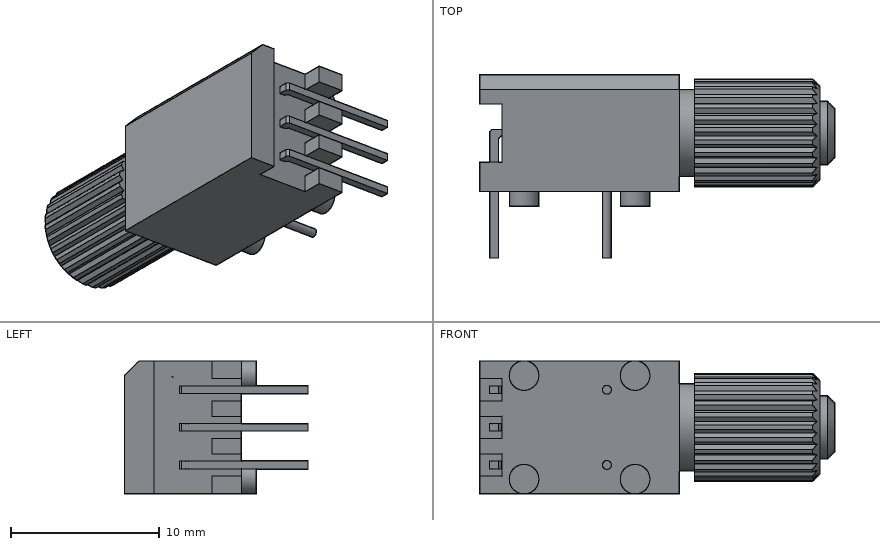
import cadquery as cq


BODY_LENGTH = 13.5
BODY_HEIGHT = 9.0
BODY_DEPTH = 7.91
BODY_FRONT_Y = -BODY_DEPTH / 2
BODY_BACK_Y = BODY_DEPTH / 2
BODY_CHAMFER = 1.0
REAR_X = -BODY_LENGTH

RECESS_DEPTH = 1.5
LEDGE_THICKNESS = 2.0
LIP_THICKNESS = 2.0

PITCH = 2.54
NOTCH_WIDTH = 1.5
TERMINAL_COUNT = 3
TERMINAL_THICKNESS = 0.6
TERMINAL_WIDTH = 0.52
TERMINAL_OFFSET = 0.68
TERMINAL_BEND_RISE = 4.2
BEND_THICKNESS = 0.42
BEND_OUTER_CHAMFER = 0.15
BEND_INNER_CHAMFER = 0.2
PIN_LENGTH = 4.5

SUPPORT_DIAMETER = 0.6
SUPPORT_PITCHES = 3
SUPPORT_X = REAR_X + TERMINAL_OFFSET + TERMINAL_THICKNESS / 2 + SUPPORT_PITCHES * PITCH

PEG_DIAMETER = 2.0
PEG_LENGTH = 1.0
PEG_INSET = 3.0
PEG_Z = (BODY_HEIGHT - PEG_DIAMETER) / 2

NECK_RADIUS = 2.95
NECK_LENGTH = 1.0
KNOB_RADIUS = 3.65
KNOB_LENGTH = 8.5
TIP_RADIUS = 2.15
TIP_LENGTH = 1.0
END_CHAMFER = 0.5

GROOVE_COUNT = 27
GROOVE_ROOT_RADIUS = 3.37
GROOVE_CLEARANCE = 0.5


def block(x_range, y_range, z_center, z_width):
    """Box spanning the given X and Y ranges, centred on z_center."""
    length = x_range[1] - x_range[0]
    depth = y_range[1] - y_range[0]
    center = (sum(x_range) / 2, sum(y_range) / 2, z_center)
    return cq.Workplane("XY").box(length, depth, z_width).translate(center)


def front_cylinder(x, z, diameter, length):
    """Cylinder standing out of the body's front face toward -Y."""
    plane = cq.Workplane("XZ", origin=(x, BODY_FRONT_Y, z))
    return plane.circle(diameter / 2).extrude(length)


def axial_cylinder(start_x, radius, length):
    """Cylinder along the shaft axis."""
    return cq.Workplane("YZ", origin=(start_x, 0, 0)).circle(radius).extrude(length)


def terminal_positions():
    """Z positions of the terminals, evenly pitched about the shaft axis."""
    middle = (TERMINAL_COUNT - 1) / 2
    return [(index - middle) * PITCH for index in range(TERMINAL_COUNT)]


def make_body():
    body = block((REAR_X, 0), (BODY_FRONT_Y, BODY_BACK_Y), 0, BODY_HEIGHT)
    body = body.edges(">Y and >Z").chamfer(BODY_CHAMFER)
    recess_x = (REAR_X, REAR_X + RECESS_DEPTH)
    lip_top = BODY_FRONT_Y + LIP_THICKNESS
    recess_y = (lip_top, BODY_BACK_Y - LEDGE_THICKNESS)
    body = body.cut(block(recess_x, recess_y, 0, BODY_HEIGHT))
    for z in terminal_positions():
        body = body.cut(block(recess_x, (BODY_FRONT_Y, lip_top), z, NOTCH_WIDTH))
    return body


def make_terminal(z):
    """Leg bent at a right angle, from the recess wall down past the front face."""
    outer_x = REAR_X + TERMINAL_OFFSET
    inner_x = outer_x + TERMINAL_THICKNESS
    wall_x = REAR_X + RECESS_DEPTH
    top = BODY_FRONT_Y + TERMINAL_BEND_RISE
    underside = top - BEND_THICKNESS
    end = BODY_FRONT_Y - PIN_LENGTH
    outline = [
        (outer_x, end),
        (inner_x, end),
        (inner_x, underside - BEND_INNER_CHAMFER),
        (inner_x + BEND_INNER_CHAMFER, underside),
        (wall_x, underside),
        (wall_x, top),
        (outer_x + BEND_OUTER_CHAMFER, top),
        (outer_x, top - BEND_OUTER_CHAMFER),
    ]
    plane = cq.Workplane("XY", origin=(0, 0, z - TERMINAL_WIDTH / 2))
    return plane.polyline(outline).close().extrude(TERMINAL_WIDTH)


def make_groove_cutter():
    """Triangular prism for one groove, on the +Y side of the knob."""
    outer_radius = KNOB_RADIUS + GROOVE_CLEARANCE
    half_width = outer_radius - GROOVE_ROOT_RADIUS
    outline = [
        (GROOVE_ROOT_RADIUS, 0),
        (outer_radius, half_width),
        (outer_radius, -half_width),
    ]
    plane = cq.Workplane("YZ", origin=(NECK_LENGTH, 0, 0))
    return plane.polyline(outline).close().extrude(KNOB_LENGTH)


def make_knob():
    knob = axial_cylinder(NECK_LENGTH, KNOB_RADIUS, KNOB_LENGTH)
    knob = knob.faces(">X").chamfer(END_CHAMFER)
    cutter = make_groove_cutter()
    for index in range(GROOVE_COUNT):
        angle = index * 360 / GROOVE_COUNT
        knob = knob.cut(cutter.rotate((0, 0, 0), (1, 0, 0), angle))
    return knob


def make_shaft():
    neck = axial_cylinder(0, NECK_RADIUS, NECK_LENGTH)
    tip = axial_cylinder(NECK_LENGTH + KNOB_LENGTH, TIP_RADIUS, TIP_LENGTH)
    tip = tip.faces(">X").chamfer(END_CHAMFER)
    return neck.union(make_knob()).union(tip)


result = make_body().union(make_shaft())
for terminal_z in terminal_positions():
    result = result.union(make_terminal(terminal_z))
for side in (-1, 1):
    result = result.union(front_cylinder(SUPPORT_X, side * PITCH, SUPPORT_DIAMETER, PIN_LENGTH))
    for peg_x in (REAR_X + PEG_INSET, -PEG_INSET):
        result = result.union(front_cylinder(peg_x, side * PEG_Z, PEG_DIAMETER, PEG_LENGTH))